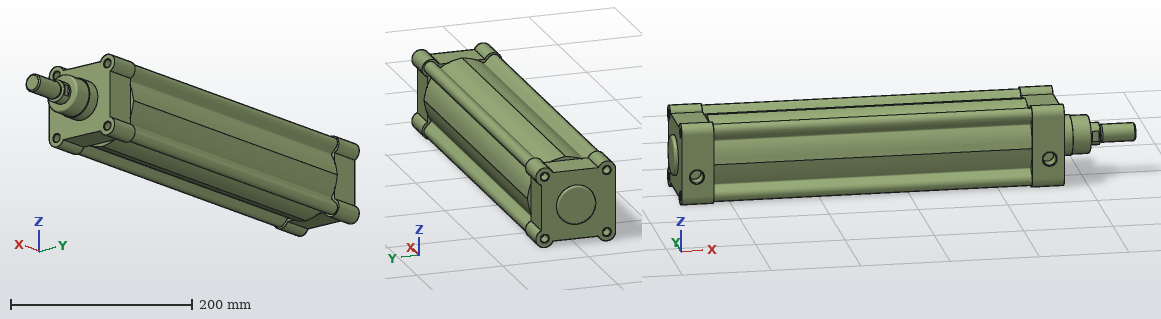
import cadquery as cq
import math

OVERALL_LENGTH = 519
REAR_BOSS_LENGTH = 4.0
CAP_LENGTH = 36.0
BARREL_LENGTH = 356.5
COLLAR_LENGTH = 14.0
GLAND_LENGTH = 21
ROD_SHANK_LENGTH = 11.5
ROD_NECK_LENGTH = 1.5

CAP_WIDTH = 93.0
CAP_HALF_WIDTH = CAP_WIDTH / 2
CAP_CORE_WIDTH = 80.0
BOLT_SPACING = 72.0
BOLT_OFFSET = BOLT_SPACING / 2
CAP_LOBE_RADIUS = CAP_HALF_WIDTH - BOLT_OFFSET
BOLT_HOLE_RADIUS = 4.4
BOLT_HOLE_CHAMFER = 0.8
BOLT_HOLE_DEPTH = 16.0
PORT_RADIUS = 7.5
PORT_CHAMFER = 1.0
PORT_DEPTH = 16.0
PORT_DROP = 12.5
PORT_INSET = 16.5
COLLAR_DIAMETER = 45.0
COLLAR_RADIUS = COLLAR_DIAMETER / 2
REAR_BOSS_FILLET = 2.5
GLAND_DIAMETER = 43.0
GLAND_RADIUS = GLAND_DIAMETER / 2
GLAND_FILLET = 2.0

BARREL_RADIUS = 43.5
RIDGE_HALF_WIDTH = 8.5
BARREL_LOBE_SPACING = 74.0
BARREL_LOBE_OFFSET = BARREL_LOBE_SPACING / 2
BARREL_LOBE_RADIUS = 7.5
GROOVE_FILLET = 1.5

ROD_RADIUS = 12.5
ROD_FLAT_DISTANCE = 11.0
ROD_FLAT_START = 2.5
ROD_FLAT_LENGTH = 7.5
THREAD_DIAMETER = 20.0
THREAD_RADIUS = THREAD_DIAMETER / 2
THREAD_CHAMFER = 1.5
NECK_RADIUS = THREAD_RADIUS - THREAD_CHAMFER

REAR_CAP_START = REAR_BOSS_LENGTH
BARREL_START = REAR_CAP_START + CAP_LENGTH
FRONT_CAP_START = BARREL_START + BARREL_LENGTH
FRONT_CAP_END = FRONT_CAP_START + CAP_LENGTH
COLLAR_END = FRONT_CAP_END + COLLAR_LENGTH
GLAND_END = COLLAR_END + GLAND_LENGTH
SHANK_END = GLAND_END + ROD_SHANK_LENGTH
NECK_END = SHANK_END + ROD_NECK_LENGTH

BOLT_POINTS = [(y, z) for y in (-BOLT_OFFSET, BOLT_OFFSET) for z in (-BOLT_OFFSET, BOLT_OFFSET)]


def plane_at(x):
    """Plane across the axis at x: local x is Y, local y is Z, normal is +X."""
    return cq.Workplane("YZ", origin=(x, 0, 0))


def disc(x_start, x_end, radius):
    """Round disc on the X axis between two stations."""
    return plane_at(x_start).circle(radius).extrude(x_end - x_start)


def chamfered_hole(radius, depth, chamfer):
    """Cutting tool for a blind hole from the origin along +X, with a chamfered mouth."""
    outline = [
        (0, 0),
        (0, radius + chamfer),
        (chamfer, radius),
        (depth, radius),
        (depth, 0),
    ]
    return cq.Workplane("XY").polyline(outline).close().revolve(360, (0, 0, 0), (1, 0, 0))


def make_cap():
    """Cap with its outer face at x = 0 and its body towards +X.

    A square block with a round lobe at each corner, a filled -Y side,
    bolt holes in the outer face and one port in the -Y side.
    """
    cap = plane_at(0).rect(CAP_CORE_WIDTH, CAP_CORE_WIDTH).extrude(CAP_LENGTH)
    lobes = plane_at(0).pushPoints(BOLT_POINTS).circle(CAP_LOBE_RADIUS).extrude(CAP_LENGTH)
    pad_center = -(CAP_HALF_WIDTH + BOLT_OFFSET) / 2
    pad = plane_at(0).center(pad_center, 0).rect(CAP_LOBE_RADIUS, BOLT_SPACING).extrude(CAP_LENGTH)
    cap = cap.union(lobes).union(pad)

    bolt_hole = chamfered_hole(BOLT_HOLE_RADIUS, BOLT_HOLE_DEPTH, BOLT_HOLE_CHAMFER)
    for y, z in BOLT_POINTS:
        cap = cap.cut(bolt_hole.translate((0, y, z)))

    port = chamfered_hole(PORT_RADIUS, PORT_DEPTH, PORT_CHAMFER)
    port = port.rotate((0, 0, 0), (0, 0, 1), 90)
    return cap.cut(port.translate((PORT_INSET, -CAP_HALF_WIDTH, -PORT_DROP)))


def make_rear_cap():
    """Cap with a short rounded centering boss on its outer face."""
    cap = make_cap().translate((REAR_CAP_START, 0, 0))
    boss = disc(0, REAR_CAP_START, COLLAR_RADIUS).faces("<X").edges().fillet(REAR_BOSS_FILLET)
    return cap.union(boss)


def make_front_cap():
    """Mirrored cap with a stepped collar and gland on its outer face."""
    cap = make_cap().mirror("YZ").translate((FRONT_CAP_END, 0, 0))
    collar = disc(FRONT_CAP_END, COLLAR_END, COLLAR_RADIUS)
    gland = disc(COLLAR_END, GLAND_END, GLAND_RADIUS).faces(">X").edges().fillet(GLAND_FILLET)
    return cap.union(collar).union(gland)


def barrel_lobe():
    """Corner lobe with 45 degree flanks that leave its round end tangentially."""
    reach = BARREL_LOBE_RADIUS / math.sqrt(2)
    near = BARREL_LOBE_OFFSET - reach
    far = BARREL_LOBE_OFFSET + reach
    return (
        plane_at(BARREL_START)
        .moveTo(reach, -reach)
        .lineTo(far, near)
        .threePointArc((far, far), (near, far))
        .lineTo(-reach, reach)
        .close()
        .extrude(BARREL_LENGTH)
    )


def barrel_ridge():
    """Shallow ridge with two planes tangent to the round body at its edges."""
    edge_distance = math.sqrt(BARREL_RADIUS**2 - RIDGE_HALF_WIDTH**2)
    crest_distance = BARREL_RADIUS**2 / edge_distance
    outline = [
        (0, 0),
        (edge_distance, -RIDGE_HALF_WIDTH),
        (crest_distance, 0),
        (edge_distance, RIDGE_HALF_WIDTH),
    ]
    return plane_at(BARREL_START).polyline(outline).close().extrude(BARREL_LENGTH)


def is_groove_edge(edge):
    """True for an edge nearer the axis than the lobe centers."""
    middle = edge.Center()
    return math.hypot(middle.y, middle.z) < math.hypot(BARREL_LOBE_OFFSET, BARREL_LOBE_OFFSET)


def make_barrel():
    """Round body with a lobe at each corner, filleted into it, and a ridge along each side."""
    lobe = barrel_lobe()
    ridge = barrel_ridge()
    body = disc(BARREL_START, FRONT_CAP_START, BARREL_RADIUS)
    for quarter in range(4):
        body = body.union(lobe.rotate((0, 0, 0), (1, 0, 0), 90 * quarter))

    body = body.edges("|X").filter(is_groove_edge).fillet(GROOVE_FILLET)

    for quarter in range(4):
        body = body.union(ridge.rotate((0, 0, 0), (1, 0, 0), 90 * quarter))
    return body


def make_rod():
    """Rod end beyond the gland: shank with two wrench flats, neck and thread."""
    shank = disc(GLAND_END, SHANK_END, ROD_RADIUS)
    cutter_depth = ROD_RADIUS
    cutter = cq.Workplane("XY").box(ROD_FLAT_LENGTH, cutter_depth, 2 * ROD_RADIUS)
    cutter_x = GLAND_END + ROD_FLAT_START + ROD_FLAT_LENGTH / 2
    cutter_y = ROD_FLAT_DISTANCE + cutter_depth / 2
    for side in (-1, 1):
        shank = shank.cut(cutter.translate((cutter_x, side * cutter_y, 0)))
    neck = disc(SHANK_END, NECK_END, NECK_RADIUS)
    thread = disc(NECK_END, OVERALL_LENGTH, THREAD_RADIUS).faces("<X or >X").chamfer(THREAD_CHAMFER)
    return shank.union(neck).union(thread)


rear_cap = make_rear_cap()
front_cap = make_front_cap()
barrel = make_barrel()
rod = make_rod()

result = cq.Compound.makeCompound([rear_cap.val(), front_cap.val(), barrel.val(), rod.val()])